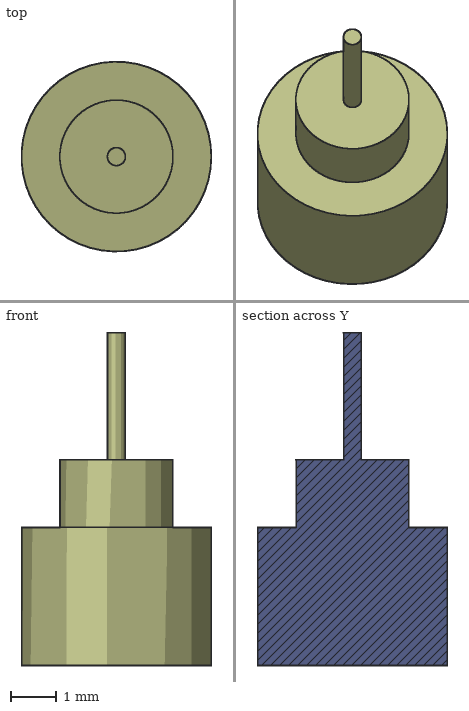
import cadquery as cq

total_height = 7.35
body_diameter = 4.2
body_height = 3.05
collar_diameter = 2.5
collar_height = 1.5
pin_diameter = 0.4
pin_height = total_height - body_height - collar_height


def add_cylinder(base, diameter, height):
    """Stack a coaxial cylinder on the top face of the base."""
    return base.faces(">Z").workplane().circle(diameter / 2).extrude(height)


body = cq.Workplane("XY").circle(body_diameter / 2).extrude(body_height)

body_with_collar = add_cylinder(body, collar_diameter, collar_height)

result = add_cylinder(body_with_collar, pin_diameter, pin_height)